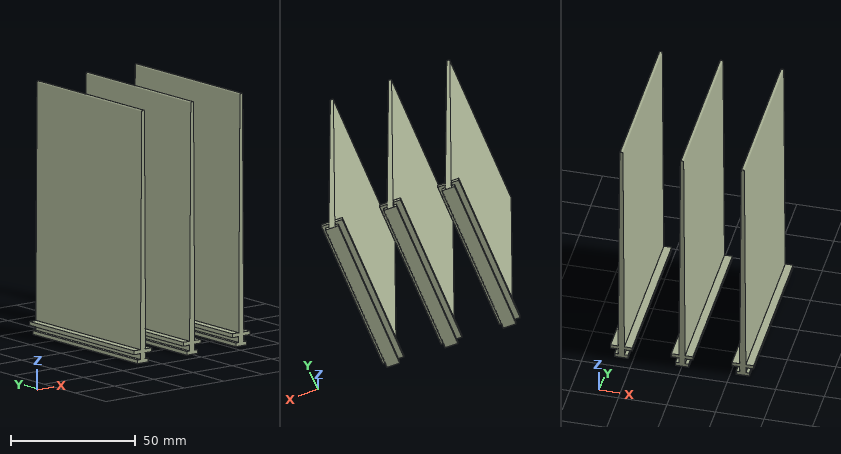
import cadquery as cq

total_height = 103.8
panel_length = 68.0
panel_count = 3
panel_pitch = 25.0

foot_width = 5.5
foot_height = 1.6
neck_width = 2.6
flange_width = 9.0
flange_bottom = 4.0
flange_top = 5.6

tip_width = 1.4
tip_start = total_height - tip_width / 2


def blade_half_width(z):
    """Half the blade thickness at height z, on the straight taper."""
    taper_fraction = (z - flange_bottom) / (total_height - flange_bottom)
    return (neck_width + (tip_width - neck_width) * taper_fraction) / 2


def make_panel(center_x):
    """One blade with its flange, neck and foot, extruded along Y about the given X."""
    right_side = [
        (foot_width / 2, 0),
        (foot_width / 2, foot_height),
        (neck_width / 2, foot_height),
        (neck_width / 2, flange_bottom),
        (flange_width / 2, flange_bottom),
        (flange_width / 2, flange_top),
        (blade_half_width(flange_top), flange_top),
        (blade_half_width(tip_start), tip_start),
    ]
    left_side = [(-x, z) for x, z in reversed(right_side)]
    profile = (
        cq.Workplane("XZ")
        .polyline(right_side)
        .threePointArc((0, total_height), left_side[0])
        .polyline(left_side[1:], includeCurrent=True)
        .close()
    )
    return profile.extrude(panel_length / 2, both=True).translate((center_x, 0, 0))


first_panel_x = -panel_pitch * (panel_count - 1) / 2
panels = [make_panel(first_panel_x + i * panel_pitch) for i in range(panel_count)]

result = cq.Compound.makeCompound([panel.val() for panel in panels])